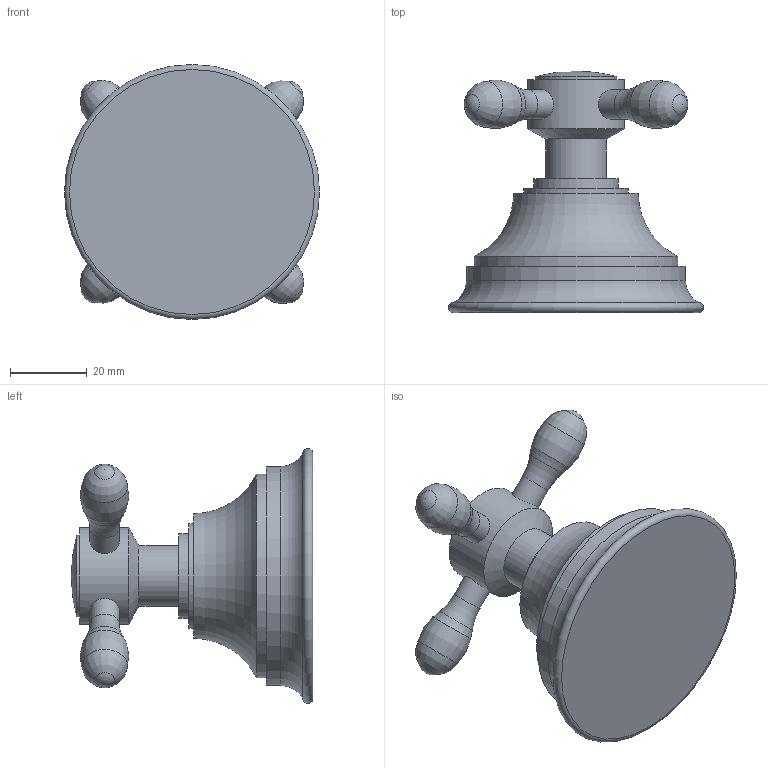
import cadquery as cq
import math


FULL_TURN = 360

RIM_OUTER_RADIUS = 33.335
RIM_THICKNESS = 2.6
RIM_ROUND = RIM_THICKNESS / 2
BASE_FLAT_RADIUS = RIM_OUTER_RADIUS - RIM_ROUND
SKIRT_RADIUS = 28.65
COVE_TOP = 8.4
SKIRT_TOP = 12.1

BELL_BAND_RADIUS = 26.6
BELL_BAND_TOP = 14.7
BELL_TOP_RADIUS = 16.3
BELL_TOP = 31.15

LOWER_COLLAR_RADIUS = 13.7
LOWER_COLLAR_TOP = 32.45
UPPER_COLLAR_RADIUS = 11.11
UPPER_COLLAR_TOP = 35.05
STEM_RADIUS = 7.94

HUB_RADIUS = 12.7
HUB_CONE_BOTTOM = 45.45
HUB_CONE_TOP = 48.1
HUB_TOP = 60.9
CAP_RADIUS = 10.7
CAP_EDGE_TOP = 61.7
TOTAL_LENGTH = 63.12

ARM_COUNT = 4
FIRST_ARM_ANGLE = 45
ARM_AXIS_Y = 54.4
ARM_RADIUS = 3.83
NECK_START = 17.9
NECK_END = 23.6
NECK_END_RADIUS = 4.95
BARREL_START = 25.8
BARREL_START_RADIUS = 5.75
BARREL_MIDDLE = 30.0
BARREL_RADIUS = 6.35
BARREL_END = 33.1
BARREL_END_RADIUS = 5.95
TIP_START = 38.4
TIP_START_RADIUS = 2.6
ARM_LENGTH = 39.4
SHOULDER_RADIUS = 6.5


def arc_middle(start, end, radius):
    """Middle of the shorter arc that bulges to the left of the way from start to end."""
    run = end[0] - start[0]
    rise = end[1] - start[1]
    chord = math.hypot(run, rise)
    bulge = radius - math.sqrt(radius**2 - (chord / 2) ** 2)
    middle_x = (start[0] + end[0]) / 2 - bulge * rise / chord
    middle_y = (start[1] + end[1]) / 2 + bulge * run / chord
    return (middle_x, middle_y)


def tangent_arc_radius(along, across):
    """Radius of an arc that starts along one direction and ends this far along and across."""
    return (along**2 + across**2) / (2 * across)


def make_body():
    """Base, bell, collars, stem, hub and cap, as (radius, height) points turned about Y."""
    rim_top = (BASE_FLAT_RADIUS, RIM_THICKNESS)
    cove_top = (SKIRT_RADIUS, COVE_TOP)
    cove_radius = tangent_arc_radius(COVE_TOP - RIM_THICKNESS, BASE_FLAT_RADIUS - SKIRT_RADIUS)
    bell_bottom = (BELL_BAND_RADIUS, BELL_BAND_TOP)
    bell_top = (BELL_TOP_RADIUS, BELL_TOP)
    bell_radius = tangent_arc_radius(BELL_TOP - BELL_BAND_TOP, BELL_BAND_RADIUS - BELL_TOP_RADIUS)
    cap_edge = (CAP_RADIUS, CAP_EDGE_TOP)
    cap_top = (0, TOTAL_LENGTH)
    dome_radius = tangent_arc_radius(CAP_RADIUS, TOTAL_LENGTH - CAP_EDGE_TOP)
    dome_angle = math.asin(CAP_RADIUS / dome_radius) / 2
    dome_middle = (
        dome_radius * math.sin(dome_angle),
        TOTAL_LENGTH - dome_radius * (1 - math.cos(dome_angle)),
    )
    profile = (
        cq.Workplane("XY")
        .lineTo(BASE_FLAT_RADIUS, 0)
        .threePointArc((RIM_OUTER_RADIUS, RIM_ROUND), rim_top)
        .threePointArc(arc_middle(rim_top, cove_top, cove_radius), cove_top)
        .lineTo(SKIRT_RADIUS, SKIRT_TOP)
        .lineTo(BELL_BAND_RADIUS, SKIRT_TOP)
        .lineTo(*bell_bottom)
        .threePointArc(arc_middle(bell_bottom, bell_top, bell_radius), bell_top)
        .lineTo(LOWER_COLLAR_RADIUS, BELL_TOP)
        .lineTo(LOWER_COLLAR_RADIUS, LOWER_COLLAR_TOP)
        .lineTo(UPPER_COLLAR_RADIUS, LOWER_COLLAR_TOP)
        .lineTo(UPPER_COLLAR_RADIUS, UPPER_COLLAR_TOP)
        .lineTo(STEM_RADIUS, UPPER_COLLAR_TOP)
        .lineTo(STEM_RADIUS, HUB_CONE_BOTTOM)
        .lineTo(HUB_RADIUS, HUB_CONE_TOP)
        .lineTo(HUB_RADIUS, HUB_TOP)
        .lineTo(CAP_RADIUS, HUB_TOP)
        .lineTo(*cap_edge)
        .threePointArc(dome_middle, cap_top)
        .close()
    )
    return profile.revolve(FULL_TURN, (0, 0, 0), (0, 1, 0))


def make_arm():
    """One lever along +X, as (station, radius) points turned about the X axis."""
    neck_start = (NECK_START, ARM_RADIUS)
    neck_end = (NECK_END, NECK_END_RADIUS)
    neck_radius = tangent_arc_radius(NECK_END - NECK_START, NECK_END_RADIUS - ARM_RADIUS)
    barrel_end = (BARREL_END, BARREL_END_RADIUS)
    tip_start = (TIP_START, TIP_START_RADIUS)
    tip_end = (ARM_LENGTH, 0)
    tip_radius = tangent_arc_radius(TIP_START_RADIUS, ARM_LENGTH - TIP_START)
    profile = (
        cq.Workplane("XY")
        .lineTo(0, ARM_RADIUS)
        .lineTo(*neck_start)
        .threePointArc(arc_middle(neck_end, neck_start, neck_radius), neck_end)
        .lineTo(BARREL_START, BARREL_START_RADIUS)
        .threePointArc((BARREL_MIDDLE, BARREL_RADIUS), barrel_end)
        .threePointArc(arc_middle(barrel_end, tip_start, SHOULDER_RADIUS), tip_start)
        .threePointArc(arc_middle(tip_start, tip_end, tip_radius), tip_end)
        .close()
    )
    return profile.revolve(FULL_TURN, (0, 0, 0), (1, 0, 0)).translate((0, ARM_AXIS_Y, 0))


result = make_body()
for arm_index in range(ARM_COUNT):
    arm_angle = FIRST_ARM_ANGLE + arm_index * FULL_TURN / ARM_COUNT
    arm = make_arm().rotate((0, 0, 0), (0, 1, 0), arm_angle)
    result = result.union(arm)